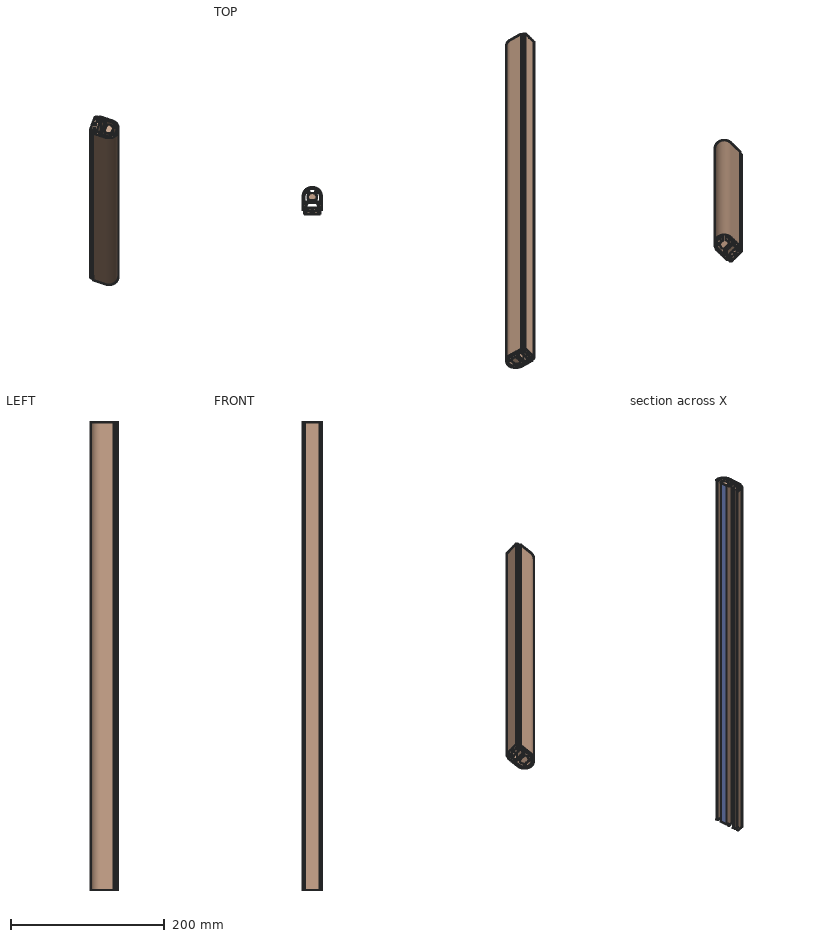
import cadquery as cq

width = 25.0
depth = 35.5
length = 609.6
front_y = -depth / 2

wall = 2.5
arch_radius = width / 2
arch_center_y = depth / 2 - arch_radius
chamber_radius = arch_radius - wall

body_front_y = front_y + 5.5
foot_half_width = 10.9
foot_top_y = front_y + 3.9
foot_step = 1.3
lip_width = 1.2
groove_depth = 1.0
groove_inner_half_width = 8.0
neck_half_width = 4.8

neck_hole_radius = 1.8
neck_hole_y = body_front_y - 2.1

bridge_top_y = -1.2
bridge_top_half_width = 7.2
bridge_foot_y = -5.0
bridge_thickness = 1.8
cavity_floor_y = body_front_y + 3.1
cavity_floor_half_width = 9.6
cavity_top_half_width = 5.8

core_radius = 6.2
core_center_y = 4.0
core_bottom_y = 0.6
core_fillet = 3.4
arm_width = 3.0
arm_angle = 45.0


def mirrored_prism(right_points):
    """Prism whose outline is the given right half plus its mirror image about X = 0."""
    left_points = [(-x, y) for x, y in reversed(right_points)]
    return cq.Workplane("XY").polyline(right_points + left_points).close().extrude(length)


def round_bar(radius, center_y):
    return cq.Workplane("XY").center(0, center_y).circle(radius).extrude(length)


def arch_prism(radius, base_y):
    """Prism with straight sides and a half-round top."""
    return (
        cq.Workplane("XY")
        .moveTo(-radius, base_y)
        .lineTo(radius, base_y)
        .lineTo(radius, arch_center_y)
        .threePointArc((0, arch_center_y + radius), (-radius, arch_center_y))
        .close()
        .extrude(length)
    )


def foot_and_neck():
    sole_half_width = foot_half_width - foot_step
    lip_inner_half_width = foot_half_width - lip_width
    groove_floor_y = foot_top_y - groove_depth
    return mirrored_prism([
        (sole_half_width, front_y),
        (sole_half_width, front_y + foot_step),
        (foot_half_width, front_y + foot_step),
        (foot_half_width, foot_top_y),
        (lip_inner_half_width, foot_top_y),
        (lip_inner_half_width, groove_floor_y),
        (groove_inner_half_width, groove_floor_y),
        (groove_inner_half_width, foot_top_y),
        (neck_half_width, foot_top_y),
        (neck_half_width, body_front_y),
    ])


def chamber():
    bridge_top = mirrored_prism([
        (chamber_radius, bridge_foot_y),
        (bridge_top_half_width, bridge_top_y),
    ])
    return arch_prism(chamber_radius, bridge_foot_y).cut(bridge_top)


def lower_cavity():
    return mirrored_prism([
        (cavity_floor_half_width, cavity_floor_y),
        (cavity_top_half_width, bridge_top_y - bridge_thickness),
    ])


def core():
    keep_zone = mirrored_prism([
        (core_radius, core_bottom_y),
        (core_radius, core_center_y + core_radius),
    ])
    flat_bottomed = round_bar(core_radius, core_center_y).intersect(keep_zone)
    return flat_bottomed.edges("|Z").edges("<Y").fillet(core_fillet)


def arm(side):
    """Arm running from inside the core into the arch wall; side is 1 or -1."""
    start = core_radius / 2
    end = arch_radius - wall / 2
    return (
        cq.Workplane("XY")
        .center(0, (start + end) / 2)
        .rect(arm_width, end - start)
        .extrude(length)
        .rotate((0, 0, 0), (0, 0, 1), side * arm_angle)
        .translate((0, arch_center_y, 0))
    )


body = arch_prism(arch_radius, body_front_y).union(foot_and_neck())
body = body.cut(chamber()).cut(lower_cavity())
body = body.cut(round_bar(neck_hole_radius, neck_hole_y))

result = body.union(core())
for arm_side in (1, -1):
    result = result.union(arm(arm_side))